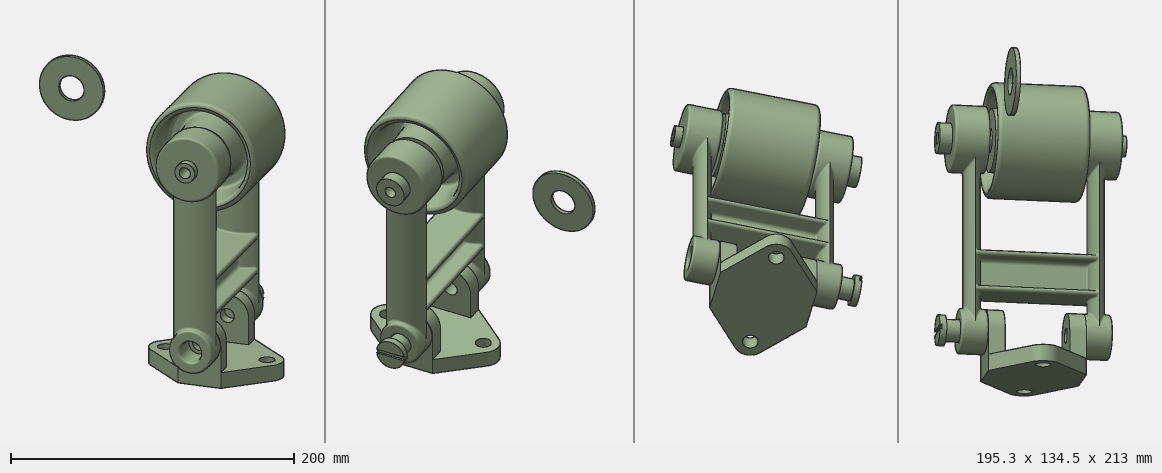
import cadquery as cq
import math

total_height = 213.0
total_width = 195.3

base_length = 100.0
base_depth = 70.0
base_thickness = 12.0
base_end_radius = 12.0
base_hole_d = 11.0
lug_thickness = 12.0
lug_hole_d = 10.5

arm_width = 32.0
arm_thickness = 12.0
arm_offset = 44.5
edge_fillet = 1.5
pivot_height = 32.0
pivot_boss_d = 32.2
pivot_boss_length = 19.0
pivot_hole_d = 16.0
axle_boss_d = 48.0
axle_boss_length = 25.0

plate_width = 31.5
plate_thickness = 4.0
plate_heights = (60.3, 86.3)
web_thickness = 4.0
web_fillet = 3.0

roller_d = 82.0
roller_length = 66.0
roller_shift = -0.9
rim_round = 3.2
cavity_root_r = 32.8
hub_length = 64.0
hub_end_r = 22.5
hub_root_r = 24.0
wheel_web_thickness = 12.0
wheel_web_fillet = 2.5

axle_front_y = -65.5
axle_rear_y = 69.0
axle_d = 15.0
axle_shank_d = 16.8
axle_head_d = 22.0
axle_bore_d = 8.3
grease_hole_d = 9.0
grease_hole_y = 31.0

screw_head_d = 22.0
screw_head_thickness = 5.0
screw_shank_length = 20.0
screw_thread_length = 12.0
slot_width = 3.2
slot_depth = 1.5

washer_d = 48.0
washer_hole_d = 19.0
washer_thickness = 3.2
washer_height = 183.5

lug_face_y = base_depth / 2
pivot_boss_y = lug_face_y + pivot_boss_length
axle_head_y = lug_face_y + axle_boss_length
tyre_r = roller_d / 2
axle_height = total_height - tyre_r
seat_r = tyre_r - rim_round
roller_end = roller_length / 2
straight_end = roller_end - rim_round
round_middle = rim_round * math.sqrt(0.5)
shank_end_y = roller_shift - hub_length / 2
washer_x = base_length / 2 - total_width + washer_d / 2
sides = (-1, 1)


def rod(diameter, y_start, y_end, height, x=0):
    """Cylinder lying along Y between two Y positions."""
    plane = cq.Workplane("XZ", origin=(x, y_start, height))
    return plane.circle(diameter / 2).extrude(y_start - y_end)


def side_rod(diameter, side, near, far, height):
    """Cylinder along Y on one side, between two distances from the middle."""
    return rod(diameter, side * near, side * far, height)


def make_base():
    half_width = arm_width / 2
    end_x = base_length / 2 - base_end_radius
    run = end_x - half_width
    distance = math.hypot(run, lug_face_y)
    slope = math.asin(base_end_radius / distance) - math.atan2(lug_face_y, run)
    tangent_x = end_x - base_end_radius * math.sin(slope)
    tangent_y = base_end_radius * math.cos(slope)
    plate = (
        cq.Workplane("XY")
        .moveTo(-half_width, lug_face_y)
        .lineTo(half_width, lug_face_y)
        .lineTo(tangent_x, tangent_y)
        .threePointArc((base_length / 2, 0), (tangent_x, -tangent_y))
        .lineTo(half_width, -lug_face_y)
        .lineTo(-half_width, -lug_face_y)
        .lineTo(-tangent_x, -tangent_y)
        .threePointArc((-base_length / 2, 0), (-tangent_x, tangent_y))
        .close()
        .extrude(base_thickness)
    )
    holes = cq.Workplane("XY").pushPoints([(-end_x, 0), (end_x, 0)])
    base = plate.cut(holes.circle(base_hole_d / 2).extrude(base_thickness))
    inner_y = lug_face_y - lug_thickness
    for side in sides:
        post = cq.Workplane("XY").box(arm_width, lug_thickness, pivot_height, centered=(True, True, False))
        base = base.union(post.translate((0, side * (lug_face_y - lug_thickness / 2), 0)))
        base = base.union(side_rod(arm_width, side, inner_y, lug_face_y, pivot_height))
    return base.cut(rod(lug_hole_d, -lug_face_y, lug_face_y, pivot_height))


def make_arm_blade(side):
    half_width = arm_width / 2
    middle = side * arm_offset
    return (
        cq.Workplane("XY", origin=(0, 0, pivot_height))
        .moveTo(-half_width, middle)
        .threePointArc((0, middle + arm_thickness / 2), (half_width, middle))
        .threePointArc((0, middle - arm_thickness / 2), (-half_width, middle))
        .close()
        .extrude(axle_height - pivot_height)
    )


def make_arm(side):
    pivot_boss = side_rod(pivot_boss_d, side, lug_face_y, pivot_boss_y, pivot_height)
    axle_boss = side_rod(axle_boss_d, side, lug_face_y, axle_head_y, axle_height)
    arm = make_arm_blade(side)
    for boss in (pivot_boss, axle_boss):
        arm = arm.union(boss.edges("%CIRCLE").fillet(edge_fillet))
    arm = arm.edges("not(%CIRCLE or %LINE)").fillet(edge_fillet)
    arm = arm.cut(side_rod(pivot_hole_d, side, lug_face_y, pivot_boss_y, pivot_height))
    axle_hole_d = axle_shank_d if side > 0 else axle_d
    arm = arm.cut(side_rod(axle_hole_d, side, lug_face_y, axle_head_y, axle_height))
    mouth_point = cq.Vector(0, side * pivot_boss_y, pivot_height)
    reach = cq.Vector(edge_fillet, edge_fillet, edge_fillet) * 0.5
    around_mouth = cq.selectors.BoxSelector((mouth_point - reach).toTuple(), (mouth_point + reach).toTuple())
    mouth = arm.edges(around_mouth).edges(cq.selectors.RadiusNthSelector(0))
    return mouth.fillet(edge_fillet)


def make_beam():
    low, high = plate_heights
    section = cq.Workplane("XZ", origin=(0, arm_offset, 0))
    web = section.center(0, (low + high) / 2).rect(web_thickness, high - low).extrude(2 * arm_offset)
    plates = section.pushPoints([(0, low), (0, high)]).slot2D(plate_width, plate_thickness)
    beam = web.union(plates.extrude(2 * arm_offset))
    corners = cq.selectors.BoxSelector((-web_thickness, -arm_offset, low), (web_thickness, arm_offset, high))
    return beam.edges("|Y").edges(corners).fillet(web_fillet)


def make_frame():
    frame = make_beam()
    low = plate_heights[0] - plate_thickness
    high = plate_heights[1] + plate_thickness
    for side in sides:
        frame = frame.union(make_arm(side))
        inner_y = side * (arm_offset - arm_thickness)
        edge_y = side * (arm_offset - 0.05)
        junction = cq.selectors.BoxSelector((-arm_width, inner_y, low), (arm_width, edge_y, high))
        frame = frame.edges(junction).fillet(edge_fillet)
    return frame


def place_on_axle(profile):
    """Spin a radius-against-Y profile round the Y axis and set it at the roller position."""
    return profile.revolve(360, (0, 0, 0), (0, 1, 0)).translate((0, roller_shift, axle_height))


def make_tyre():
    arc_r = seat_r + round_middle
    arc_y = straight_end + round_middle
    profile = (
        cq.Workplane("XY")
        .moveTo(seat_r, -roller_end)
        .threePointArc((arc_r, -arc_y), (tyre_r, -straight_end))
        .lineTo(tyre_r, straight_end)
        .threePointArc((arc_r, arc_y), (seat_r, roller_end))
        .close()
    )
    return place_on_axle(profile)


def make_wheel():
    web = wheel_web_thickness / 2
    hub_end = hub_length / 2
    bore_r = seat_r - rim_round
    arc_r = seat_r - round_middle
    arc_y = straight_end + round_middle
    profile = (
        cq.Workplane("XY")
        .moveTo(axle_shank_d / 2, -hub_end)
        .lineTo(hub_end_r, -hub_end)
        .lineTo(hub_root_r, -web)
        .lineTo(cavity_root_r, -web)
        .lineTo(bore_r, -straight_end)
        .threePointArc((arc_r, -arc_y), (seat_r, -roller_end))
        .lineTo(seat_r, roller_end)
        .threePointArc((arc_r, arc_y), (bore_r, straight_end))
        .lineTo(cavity_root_r, web)
        .lineTo(hub_root_r, web)
        .lineTo(hub_end_r, hub_end)
        .lineTo(axle_shank_d / 2, hub_end)
        .close()
    )
    wheel = place_on_axle(profile)
    low = (-tyre_r, roller_shift - wheel_web_thickness, axle_height - tyre_r)
    high = (tyre_r, roller_shift + wheel_web_thickness, axle_height + tyre_r)
    web_edges = cq.selectors.BoxSelector(low, high)
    return wheel.edges(web_edges).edges("%CIRCLE").fillet(wheel_web_fillet)


def make_axle():
    axle = rod(axle_d, axle_front_y, axle_rear_y, axle_height)
    axle = axle.union(rod(axle_shank_d, shank_end_y, axle_rear_y, axle_height))
    axle = axle.union(rod(axle_head_d, axle_head_y, axle_rear_y, axle_height))
    axle = axle.cut(rod(axle_bore_d, axle_front_y, axle_rear_y, axle_height))
    grease_hole = cq.Workplane("XY", origin=(0, grease_hole_y, axle_height)).circle(grease_hole_d / 2)
    return axle.cut(grease_hole.extrude(axle_shank_d))


def make_screw():
    head_y = axle_rear_y - screw_head_thickness
    shank_y = head_y - screw_shank_length
    screw = rod(screw_head_d, head_y, axle_rear_y, pivot_height)
    screw = screw.union(rod(pivot_hole_d, shank_y, head_y, pivot_height))
    screw = screw.union(rod(lug_hole_d, shank_y - screw_thread_length, shank_y, pivot_height))
    slot = cq.Workplane("XY").box(screw_head_d, slot_depth, slot_width)
    return screw.cut(slot.translate((0, axle_rear_y - slot_depth / 2, pivot_height)))


def make_washer():
    rear_y = lug_face_y + washer_thickness
    disc = rod(washer_d, lug_face_y, rear_y, washer_height, washer_x)
    return disc.cut(rod(washer_hole_d, lug_face_y, rear_y, washer_height, washer_x))


base = make_base()
frame = make_frame()
tyre = make_tyre()
wheel = make_wheel()
axle = make_axle()
screw = make_screw()
washer = make_washer()

result = cq.Compound.makeCompound(
    [base.val(), frame.val(), tyre.val(), wheel.val(), axle.val(), screw.val(), washer.val()]
)